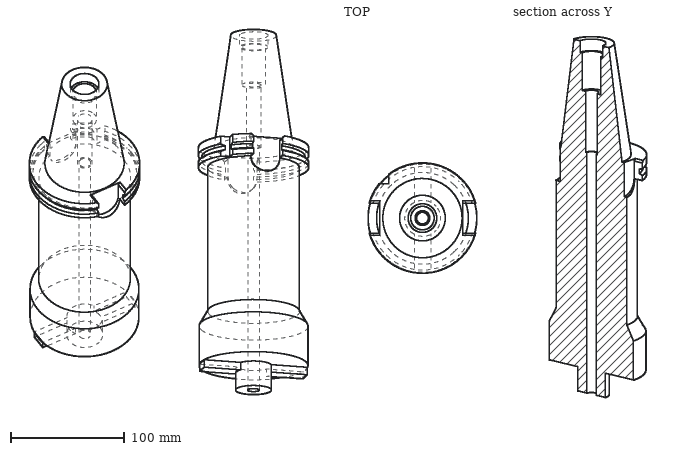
import cadquery as cq

total_height = 323.8
head_bottom = 22.5
shoulder_bottom = 58.5
shoulder_top = 72.0
flange_bottom = 203.0
flange_top = 221.0
gauge_level = 222.0

pilot_radius = 16.0
head_radius = 48.08
body_radius = 40.5
flange_radius = 48.72
gauge_radius = 35.0
taper_slope = 7 / 48
taper_top_radius = gauge_radius - taper_slope * (total_height - gauge_level)

groove_radius = 45.5
groove_bottom = 207.5
groove_floor_bottom = 209.0
groove_floor_top = 212.7
groove_top = 214.0

counterbore_radius = 12.5
counterbore_depth = 10.7
thread_radius = 10.5
thread_depth = 45.3
drill_radius = 6.5
drill_depth = 101.5
coolant_radius = 5.2

slot_half_width = 13.3
slot_chamfer = 2.0
left_slot_floor = 37.5
right_slot_floor = 35.5

notch_x = -29.8
notch_y = 30.0

key_width = 15.0
key_length = 94.5
key_height = 6.8


def turned_body():
    """Solid of revolution from the pilot up to the small end of the taper."""
    profile = [
        (0, 0),
        (pilot_radius, 0),
        (pilot_radius, head_bottom),
        (head_radius, head_bottom),
        (head_radius, shoulder_bottom),
        (body_radius, shoulder_top),
        (body_radius, flange_bottom),
        (flange_radius, flange_bottom),
        (flange_radius, groove_bottom),
        (groove_radius, groove_floor_bottom),
        (groove_radius, groove_floor_top),
        (flange_radius, groove_top),
        (flange_radius, flange_top),
        (gauge_radius, flange_top),
        (gauge_radius, gauge_level),
        (taper_top_radius, total_height),
        (0, total_height),
    ]
    return cq.Workplane("XZ").polyline(profile).close().revolve(360, (0, 0), (0, 1))


def axial_hole(radius, depth):
    """Round cutter sunk from the small end of the taper."""
    return cq.Workplane("XY").workplane(offset=total_height).circle(radius).extrude(-depth)


def drive_slot(side, floor):
    """Round-ended slot cutter with a flared mouth; side is -1 or +1 along X."""
    flare = slot_half_width + slot_chamfer
    return (
        cq.Workplane("YZ")
        .workplane(offset=side * floor)
        .moveTo(-flare, flange_top)
        .lineTo(-slot_half_width, flange_top - slot_chamfer)
        .lineTo(-slot_half_width, flange_bottom)
        .threePointArc((0, flange_bottom - slot_half_width), (slot_half_width, flange_bottom))
        .lineTo(slot_half_width, flange_top - slot_chamfer)
        .lineTo(flare, flange_top)
        .close()
        .extrude(side * flange_radius)
    )


def orientation_notch():
    """Square-cornered cutter through the full flange thickness at -X, +Y."""
    return (
        cq.Workplane("XY")
        .workplane(offset=flange_bottom)
        .moveTo(notch_x, notch_y)
        .rect(-flange_radius, flange_radius, centered=False)
        .extrude(flange_top - flange_bottom)
    )


def drive_key():
    """Bar across the underside of the head, along Y."""
    return (
        cq.Workplane("XY")
        .workplane(offset=head_bottom)
        .rect(key_width, key_length)
        .extrude(-key_height)
    )


result = turned_body().union(drive_key())
result = result.cut(axial_hole(counterbore_radius, counterbore_depth))
result = result.cut(axial_hole(thread_radius, thread_depth))
result = result.cut(axial_hole(drill_radius, drill_depth))
result = result.cut(axial_hole(coolant_radius, total_height))
result = result.cut(drive_slot(-1, left_slot_floor))
result = result.cut(drive_slot(1, right_slot_floor))
result = result.cut(orientation_notch())